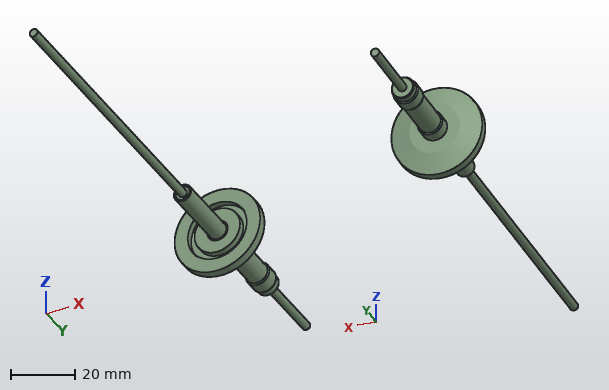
import cadquery as cq


flange_diameter = 29.97
rim_thickness = 3.05
cone_height = 1.95
cone_top_diameter = 16.7

groove_outer_diameter = 20.6
groove_inner_diameter = 15.9
groove_depth = 2.2

rod_diameter = 2.77
rod_length = 184.15
rod_front_length = 100.5
rod_rear_length = 25.4

tube_diameter = 6.1
tube_recess_diameter = 4.9
tube_recess_depth = 0.3
tube_length = 23.5
tube_seat_diameter = 7.0
tube_seat_depth = 0.3

body_diameter = 7.4
collar_diameter = 8.3
collar_chamfer = (collar_diameter - body_diameter) / 2
front_collar_length = 4.75
rear_collar_length = 5.5
tip_length = 2.5
tip_chamfer = 0.3

rod_front = -(tube_length + rod_front_length)
rod_rear = rod_front + rod_length
body_rear = rod_rear - rod_rear_length
flange_rear = rim_thickness + cone_height
rear_collar_start = body_rear - tip_length - rear_collar_length


def cylinder(diameter, start, length):
    """Solid cylinder on the Y axis, from Y = start toward +Y."""
    plane = cq.Workplane("XZ", origin=(0, start, 0))
    return plane.circle(diameter / 2).extrude(-length)


def ring(outer_diameter, inner_diameter, start, length):
    """Hollow cylinder on the Y axis, from Y = start toward +Y."""
    return cylinder(outer_diameter, start, length).cut(cylinder(inner_diameter, start, length))


def make_flange():
    """Round flange with a conical clamping back and an annular groove and a shallow tube seat in front."""
    profile = [
        (0, 0),
        (flange_diameter / 2, 0),
        (flange_diameter / 2, rim_thickness),
        (cone_top_diameter / 2, flange_rear),
        (0, flange_rear),
    ]
    blank = cq.Workplane("XY").polyline(profile).close().revolve(360, (0, 0, 0), (0, 1, 0))
    groove = ring(groove_outer_diameter, groove_inner_diameter, 0, groove_depth)
    tube_seat = cylinder(tube_seat_diameter, 0, tube_seat_depth)
    return blank.cut(groove).cut(tube_seat)


def make_tube():
    """Front tube, passing into the flange, with a shallow recess around the rod."""
    tube = cylinder(tube_diameter, -tube_length, tube_length + flange_rear)
    return tube.cut(cylinder(tube_recess_diameter, -tube_length, tube_recess_depth))


def make_rear_body():
    """Rear body with a collar at the flange, a collar near its end and a chamfered tip."""
    body = cylinder(body_diameter, flange_rear, body_rear - flange_rear)
    body = body.faces(">Y").chamfer(tip_chamfer)
    front_collar = cylinder(collar_diameter, flange_rear, front_collar_length)
    front_collar = front_collar.faces(">Y").chamfer(collar_chamfer)
    rear_collar = cylinder(collar_diameter, rear_collar_start, rear_collar_length)
    rear_collar = rear_collar.faces("<Y or >Y").chamfer(collar_chamfer)
    return body.union(front_collar).union(rear_collar)


rod = cylinder(rod_diameter, rod_front, rod_length)
result = make_flange().union(make_tube()).union(make_rear_body()).union(rod)